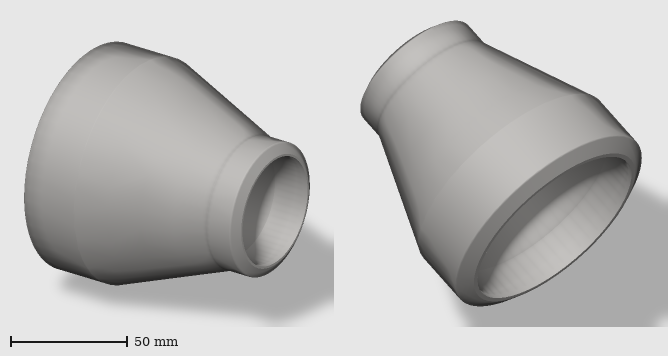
import cadquery as cq
import math

length = 100.0
large_outer_radius = 101.6 / 2
large_inner_radius = 84.0 / 2
small_outer_radius = 60.3 / 2
small_inner_radius = 49.1 / 2

large_collar_length = 30.0
small_collar_length = 15.0
bore_depth = 17.0

large_root_face = 2.0
small_root_face = 1.0
bevel_angle = 30.0
edge_radius = 1.0

small_collar_start = length - small_collar_length
large_root_radius = large_inner_radius + large_root_face
small_root_radius = small_inner_radius + small_root_face


def bevel_length(outer_radius, root_radius):
    """Axial length of the bevel from the root face out to the outer wall."""
    return (outer_radius - root_radius) * math.tan(math.radians(bevel_angle))


def make_sharp_reducer():
    """Revolve the wall section (X along the axis, Y the radius) about the X axis."""
    large_bevel_end = bevel_length(large_outer_radius, large_root_radius)
    small_bevel_start = length - bevel_length(small_outer_radius, small_root_radius)
    wall_section = [
        (0, large_inner_radius),
        (0, large_root_radius),
        (large_bevel_end, large_outer_radius),
        (large_collar_length, large_outer_radius),
        (small_collar_start, small_outer_radius),
        (small_bevel_start, small_outer_radius),
        (length, small_root_radius),
        (length, small_inner_radius),
        (length - bore_depth, small_inner_radius),
        (bore_depth, large_inner_radius),
    ]
    profile = cq.Workplane("XY").polyline(wall_section).close()
    return profile.revolve(360, (0, 0, 0), (1, 0, 0))


def round_outer_edges(reducer):
    """Round the edges where the collars meet the bevels and the cone."""
    collar_edges = [
        edge
        for edge in reducer.edges("%CIRCLE").vals()
        if any(
            math.isclose(edge.radius(), radius)
            for radius in (large_outer_radius, small_outer_radius)
        )
    ]
    return reducer.newObject(collar_edges).fillet(edge_radius)


result = round_outer_edges(make_sharp_reducer())